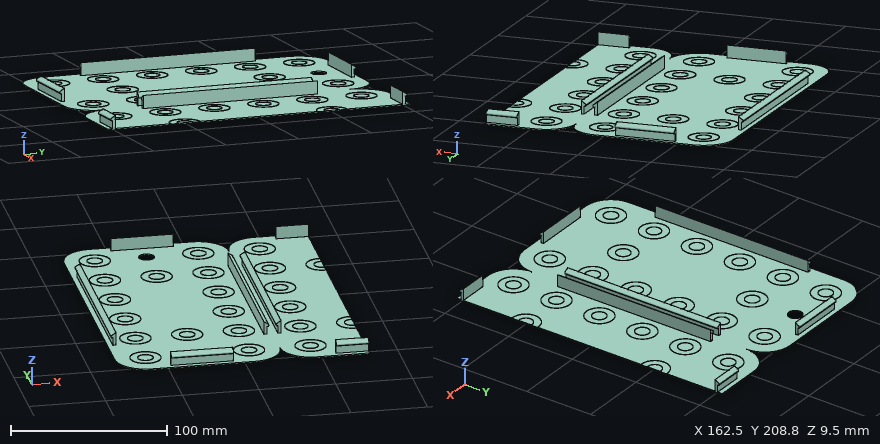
import cadquery as cq

total_length = 208.8
total_width = 162.5
total_height = 9.5
plate_thickness = 1.0

seat_outer_diameter = 20.0
seat_inner_diameter = 10.0
seat_depth = 0.2
seat_rows = 6
edge_margin = 20.0
pitch = (total_length - 2 * edge_margin) / (seat_rows - 1)
full_rows = (1, seat_rows - 2)

panel_width = 2 * (edge_margin + pitch)
corner_radius = edge_margin
first_start = 0
second_start = panel_width
hole_diameter = seat_inner_diameter

side_clip_length = 120.0
end_clip_length = 40.5
clip_edge_gap = 3.5
clip_thickness = 2.0
barb_base_height = 6.0
nose_tip_reach = 1.15
nose_tip_height = 7.0
nose_top_reach = 0.6
nose_top_height = 8.0


def panel(x_start):
    """Flat panel with rounded corners, starting at x_start."""
    return (
        cq.Workplane("XY")
        .box(panel_width, total_length, plate_thickness, centered=(False, True, False))
        .edges("|Z")
        .fillet(corner_radius)
        .translate((x_start, 0, 0))
    )


def clip(length, edge_distance):
    """Clip along Y whose barb points to -X, for an edge at X = -edge_distance."""
    outer = clip_edge_gap - edge_distance
    inner = outer + clip_thickness
    return (
        cq.Workplane("XZ")
        .moveTo(outer, 0)
        .lineTo(outer, barb_base_height)
        .threePointArc((outer - nose_tip_reach, nose_tip_height), (outer - nose_top_reach, nose_top_height))
        .lineTo(inner, total_height)
        .lineTo(inner, 0)
        .close()
        .extrude(length / 2, both=True)
    )


def panel_clips(x_start):
    """Four clips, one in the middle of each edge of the panel starting at x_start."""
    side_clip = clip(side_clip_length, panel_width / 2)
    end_clip = clip(end_clip_length, total_length / 2)
    clips = cq.Workplane("XY")
    for edge_clip, angle in ((side_clip, 0), (end_clip, 90), (side_clip, 180), (end_clip, 270)):
        clips = clips.add(edge_clip.rotate((0, 0, 0), (0, 0, 1), angle))
    return clips.combine().translate((x_start + panel_width / 2, 0, 0))


def seat_points(x_start):
    """Seat centres of one panel: two outer columns, plus the middle column in the full rows."""
    points = []
    for row in range(seat_rows):
        y = -total_length / 2 + edge_margin + row * pitch
        columns = (0, 1, 2) if row in full_rows else (0, 2)
        points += [(x_start + edge_margin + column * pitch, y) for column in columns]
    return points


def seat_grooves(x_start):
    """Ring-shaped cutters for the seats of one panel."""
    return (
        cq.Workplane("XY", origin=(0, 0, plate_thickness - seat_depth))
        .pushPoints(seat_points(x_start))
        .circle(seat_outer_diameter / 2)
        .circle(seat_inner_diameter / 2)
        .extrude(seat_depth)
    )


def hanging_hole():
    """Cutter for the through hole in the middle of the first panel's +Y seat row."""
    return (
        cq.Workplane("XY")
        .center(panel_width / 2, total_length / 2 - edge_margin)
        .circle(hole_diameter / 2)
        .extrude(plate_thickness)
    )


body = panel(first_start).union(panel(second_start))
for start in (first_start, second_start):
    body = body.union(panel_clips(start)).cut(seat_grooves(start))
body = body.cut(hanging_hole())

envelope = cq.Workplane("XY").box(total_width, total_length, total_height, centered=(False, True, False))
result = body.intersect(envelope)